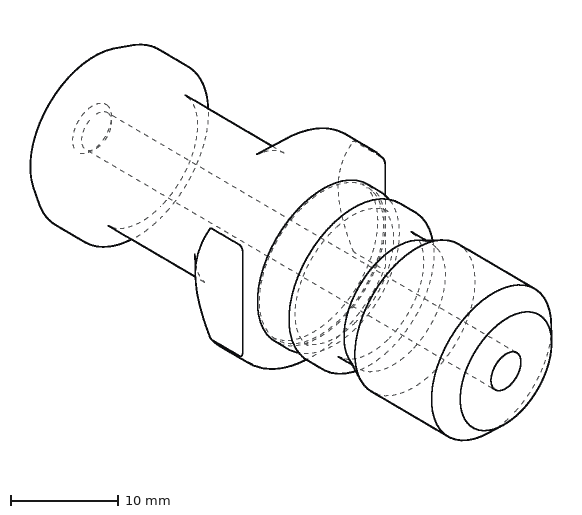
import cadquery as cq

HEAD_FACE_DIA = 16.5
HEAD_DIA = 19.0
NECK_DIA = 14.15
FLANGE_DIA = 23.0
LAND_DIA = 16.6
COLLAR_DIA = 17.0
GROOVE_DIA = 14.6
RELIEF_DIA = 13.5
SHANK_DIA = 16.0
BORE_DIA = 4.0
COUNTERSINK_DIA = 5.2

HEAD_TAPER_END = 1.95
HEAD_RIM_END = 6.0
HEAD_BACK = 6.65
FLANGE_CONE_START = 20.35
FLANGE_BACK = 29.0
FIRST_COLLAR_START = 29.9
FIRST_COLLAR_END = 31.95
SECOND_COLLAR_START = 33.8
SECOND_COLLAR_END = 36.5
RELIEF_END = 39.5
SHANK_START = 42.1
LENGTH = 54.0

EDGE_MARGIN = 0.025
FLAT_WIDTH = HEAD_DIA
SHANK_CHAMFER = 1.9
HEAD_FACE_FILLET = 0.3
HEAD_RIM_FILLET = 0.25
HEAD_BACK_FILLET = 0.55
FLANGE_CONE_FILLET = 0.8
FLANGE_FILLET = 0.45
COLLAR_FILLET = 0.4
SMALL_FILLET = 0.25

FLANGE_RIM_START = FLANGE_CONE_START + (FLANGE_DIA - NECK_DIA) / 2


def make_body():
    """Revolve the stepped outline around the X axis."""
    stations = [
        (0, HEAD_FACE_DIA),
        (HEAD_TAPER_END, HEAD_DIA),
        (HEAD_RIM_END, HEAD_DIA),
        (HEAD_BACK, NECK_DIA),
        (FLANGE_CONE_START, NECK_DIA),
        (FLANGE_RIM_START, FLANGE_DIA),
        (FLANGE_BACK, FLANGE_DIA),
        (FLANGE_BACK, LAND_DIA),
        (FIRST_COLLAR_START, LAND_DIA),
        (FIRST_COLLAR_START, COLLAR_DIA),
        (FIRST_COLLAR_END, COLLAR_DIA),
        (FIRST_COLLAR_END, GROOVE_DIA),
        (SECOND_COLLAR_START, GROOVE_DIA),
        (SECOND_COLLAR_START, COLLAR_DIA),
        (SECOND_COLLAR_END, COLLAR_DIA),
        (SECOND_COLLAR_END, RELIEF_DIA),
        (RELIEF_END, RELIEF_DIA),
        (SHANK_START, SHANK_DIA),
        (LENGTH - SHANK_CHAMFER, SHANK_DIA),
        (LENGTH, SHANK_DIA - 2 * SHANK_CHAMFER),
    ]
    outline = [(0, 0)] + [(x, dia / 2) for x, dia in stations] + [(LENGTH, 0)]
    return cq.Workplane("XY").polyline(outline).close().revolve(360, (0, 0, 0), (1, 0, 0))


def round_edge(body, x, diameter, radius):
    """Fillet the circular edge of the given diameter at station x."""
    margin = EDGE_MARGIN
    reach = diameter / 2 + margin
    outer = cq.selectors.BoxSelector((x - margin, -reach, -reach), (x + margin, reach, reach), boundingbox=True)
    inner_reach = diameter / 2 - margin
    inner = cq.selectors.BoxSelector(
        (x - margin, -inner_reach, -inner_reach), (x + margin, inner_reach, inner_reach), boundingbox=True
    )
    return body.edges((outer - inner) & cq.selectors.TypeSelector("CIRCLE")).fillet(radius)


def make_bore():
    """Through bore with a 45 degree countersink in the head face."""
    depth = (COUNTERSINK_DIA - BORE_DIA) / 2
    outline = [
        (0, 0),
        (0, COUNTERSINK_DIA / 2),
        (depth, BORE_DIA / 2),
        (LENGTH, BORE_DIA / 2),
        (LENGTH, 0),
    ]
    return cq.Workplane("XY").polyline(outline).close().revolve(360, (0, 0, 0), (1, 0, 0))


body = make_body()
rounded_edges = [
    (0, HEAD_FACE_DIA, HEAD_FACE_FILLET),
    (HEAD_TAPER_END, HEAD_DIA, HEAD_RIM_FILLET),
    (HEAD_RIM_END, HEAD_DIA, HEAD_RIM_FILLET),
    (HEAD_BACK, NECK_DIA, HEAD_BACK_FILLET),
    (FLANGE_CONE_START, NECK_DIA, FLANGE_CONE_FILLET),
    (FLANGE_RIM_START, FLANGE_DIA, FLANGE_FILLET),
    (FLANGE_BACK, FLANGE_DIA, FLANGE_FILLET),
    (FLANGE_BACK, LAND_DIA, SMALL_FILLET),
    (FIRST_COLLAR_END, COLLAR_DIA, COLLAR_FILLET),
    (FIRST_COLLAR_END, GROOVE_DIA, COLLAR_FILLET),
    (SECOND_COLLAR_START, GROOVE_DIA, COLLAR_FILLET),
    (SECOND_COLLAR_START, COLLAR_DIA, COLLAR_FILLET),
    (SECOND_COLLAR_END, COLLAR_DIA, COLLAR_FILLET),
    (SECOND_COLLAR_END, RELIEF_DIA, SMALL_FILLET),
]
for station, diameter, radius in rounded_edges:
    body = round_edge(body, station, diameter, radius)

flats = cq.Workplane("XY").box(LENGTH, FLAT_WIDTH, FLANGE_DIA, centered=(False, True, True))
result = body.intersect(flats).cut(make_bore())